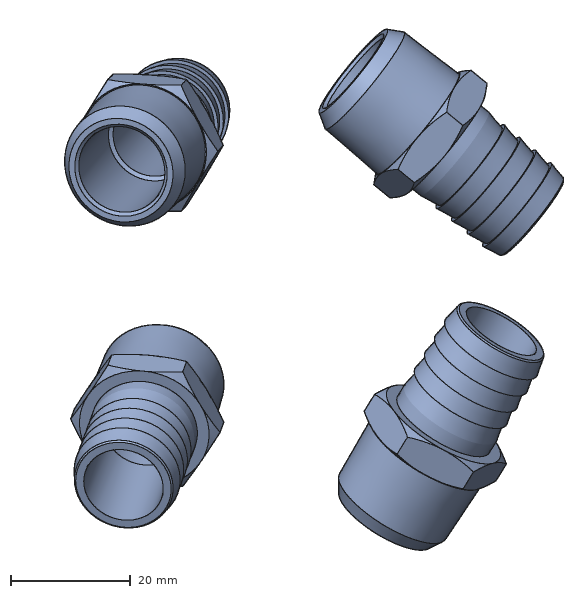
import cadquery as cq
import math

total_length = 39.0

thread_length = 14.05
thread_base_radius = 10.8
thread_taper = 1 / 32
lead_in_length = 2.5
lead_in_radius = 9.0

hex_across_flats = 22.0
hex_width = 5.5
hex_chamfer_angle = math.radians(30)

barb_count = 5
barb_pitch = 3.4
barb_crest_radius = 9.0
barb_root_radius = 8.4
tip_chamfer = 0.27

mouth_radius = 8.0
mouth_chamfer = 0.55
shoulder_angle = math.radians(30)
tail_bore_radius = 6.75

hex_end = thread_length + hex_width
barb_start = total_length - barb_count * barb_pitch


def revolve_about_y(points):
    """Turn a closed (radius, y) outline about the Y axis."""
    return cq.Workplane("XY").polyline(points).close().revolve(360, (0, 0, 0), (0, 1, 0))


def threaded_end():
    lead_in_end_radius = thread_base_radius - thread_taper * (thread_length - lead_in_length)
    return revolve_about_y([
        (0, 0),
        (lead_in_radius, 0),
        (lead_in_end_radius, lead_in_length),
        (thread_base_radius, thread_length),
        (0, thread_length),
    ])


def hexagon():
    flat_radius = hex_across_flats / 2
    corner_radius = flat_radius / math.cos(math.pi / 6)
    prism = (
        cq.Workplane("XZ", origin=(0, hex_end, 0))
        .polygon(6, 2 * corner_radius)
        .extrude(hex_width)
    )
    rim_radius = flat_radius + hex_width / 2 / math.tan(hex_chamfer_angle)
    double_cone = revolve_about_y([
        (0, thread_length),
        (flat_radius, thread_length),
        (rim_radius, thread_length + hex_width / 2),
        (flat_radius, hex_end),
        (0, hex_end),
    ])
    return prism.intersect(double_cone)


def hose_tail():
    points = [(0, hex_end), (barb_crest_radius, hex_end)]
    for index in range(barb_count):
        crest_y = barb_start + index * barb_pitch
        points.append((barb_crest_radius, crest_y))
        if index < barb_count - 1:
            points.append((barb_root_radius, crest_y + barb_pitch))
    points += [
        (barb_root_radius, total_length - tip_chamfer),
        (barb_root_radius - tip_chamfer, total_length),
        (0, total_length),
    ]
    return revolve_about_y(points)


def bore():
    wide_radius = mouth_radius - mouth_chamfer
    shoulder_length = (wide_radius - tail_bore_radius) * math.tan(shoulder_angle)
    return revolve_about_y([
        (0, 0),
        (mouth_radius, 0),
        (wide_radius, mouth_chamfer),
        (wide_radius, hex_end),
        (tail_bore_radius, hex_end + shoulder_length),
        (tail_bore_radius, total_length),
        (0, total_length),
    ])


result = threaded_end().union(hexagon()).union(hose_tail()).cut(bore())